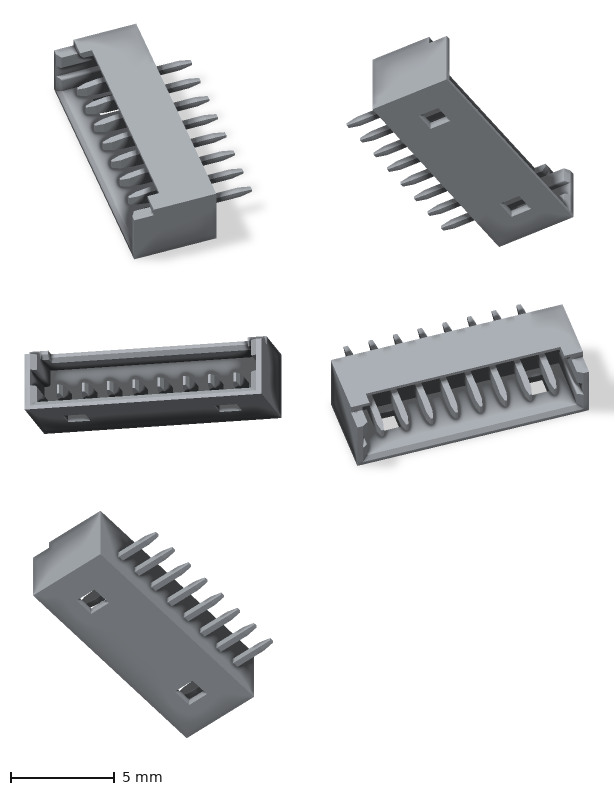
import cadquery as cq


body_width = 11.75
body_depth = 4.2
body_height = 3.2

side_wall = 0.58
floor_thickness = 0.4
roof_thickness = floor_thickness
cavity_depth = 3.0
cavity_width = body_width - 2 * side_wall
ceiling = body_height - roof_thickness

bevel_side = 0.29
bevel_floor = 0.21
bevel_depth = 0.19

groove_bottom = 1.21
groove_top = 2.0
groove_depth = bevel_side
groove_edge_radius = 0.09

roof_edge_thickness = 0.18
step_depth = 1.0
roof_notch_depth = 1.61
roof_notch_width = 9.87

pin_count = 8
pin_row_length = 8.75
pin_pitch = pin_row_length / (pin_count - 1)
pin_thickness = 0.32
pin_axis_height = 1.14

blade_height = 0.76
blade_tip_height = 0.45
blade_tip_thickness = 0.12
blade_tip_y = 0.67
blade_side_taper = 0.42
blade_height_taper = 1.05

tail_length = 2.3
tail_height = 0.34
tail_taper = 0.61
tail_tip_width = 0.21
tail_tip_height = 0.15

window_width = 1.1
window_front_y = 1.43
window_depth = window_width
window_centre_x = (pin_count / 2 - 1) * pin_pitch


def block(width, y_front, y_back, z_bottom, z_top):
    """Box centred on X."""
    return (
        cq.Workplane("XY")
        .box(width, y_back - y_front, z_top - z_bottom, centered=(True, False, False))
        .translate((0, y_front, z_bottom))
    )


def make_cavity():
    """Plug cavity with a groove along each side wall; the groove lips are rounded."""
    cavity = block(cavity_width, 0, cavity_depth, floor_thickness, ceiling)
    grooved_width = cavity_width + 2 * groove_depth
    grooves = block(grooved_width, 0, cavity_depth, groove_bottom, groove_top)
    margin = groove_depth / 2
    lip_zone = cq.selectors.BoxSelector(
        (-cavity_width / 2 - margin, 0, groove_bottom - margin),
        (cavity_width / 2 + margin, cavity_depth, groove_top + margin),
    )
    cavity = cavity.union(grooves)
    return cavity.edges("|Y").edges(lip_zone).fillet(groove_edge_radius)


def make_lead_in():
    """Tapered block that widens the mouth sideways and downwards, level with the cavity ceiling."""
    mouth_width = cavity_width + 2 * bevel_side
    throat_height = ceiling - floor_thickness
    mouth_height = throat_height + bevel_floor
    return (
        cq.Workplane("XZ")
        .center(0, ceiling - mouth_height / 2)
        .rect(mouth_width, mouth_height)
        .workplane(offset=-bevel_depth)
        .center(0, (mouth_height - throat_height) / 2)
        .rect(cavity_width, throat_height)
        .loft(ruled=True)
    )


def bevelled_roof_cut(width, bevel_width, depth):
    """Cut through the roof from the mouth to the given depth, with a bevel under its back edge."""
    opening = block(width, 0, depth, ceiling, body_height)
    bevel = (
        cq.Workplane("YZ")
        .polyline([
            (0, ceiling),
            (depth + bevel_depth, ceiling),
            (depth, body_height - roof_edge_thickness),
            (0, body_height - roof_edge_thickness),
        ])
        .close()
        .extrude(bevel_width / 2, both=True)
    )
    return opening.union(bevel)


def make_roof_cutaway():
    step = bevelled_roof_cut(body_width, cavity_width, step_depth)
    notch = bevelled_roof_cut(roof_notch_width, roof_notch_width, roof_notch_depth)
    return step.union(notch)


def make_windows():
    window = block(window_width, window_front_y, window_front_y + window_depth, 0, floor_thickness)
    left = window.translate((-window_centre_x, 0, 0))
    right = window.translate((window_centre_x, 0, 0))
    return left.union(right)


def make_housing():
    housing = block(body_width, 0, body_depth, 0, body_height)
    for cut in (make_cavity(), make_lead_in(), make_roof_cutaway(), make_windows()):
        housing = housing.cut(cut)
    return housing


def make_blade():
    """Mating blade: its side outline and its plan outline, each tapered to the tip, intersected."""
    height_taper_y = blade_tip_y + blade_height_taper
    side_taper_y = blade_tip_y + blade_side_taper
    side = (
        cq.Workplane("YZ")
        .polyline([
            (blade_tip_y, -blade_tip_height / 2),
            (height_taper_y, -blade_height / 2),
            (body_depth, -blade_height / 2),
            (body_depth, blade_height / 2),
            (height_taper_y, blade_height / 2),
            (blade_tip_y, blade_tip_height / 2),
        ])
        .close()
        .extrude(pin_thickness / 2, both=True)
    )
    plan = (
        cq.Workplane("XY")
        .polyline([
            (-blade_tip_thickness / 2, blade_tip_y),
            (blade_tip_thickness / 2, blade_tip_y),
            (pin_thickness / 2, side_taper_y),
            (pin_thickness / 2, body_depth),
            (-pin_thickness / 2, body_depth),
            (-pin_thickness / 2, side_taper_y),
        ])
        .close()
        .extrude(blade_height / 2, both=True)
    )
    return side.intersect(plan)


def make_tail():
    """Straight solder tail behind the housing with a four-sided tapered end."""
    tail = (
        cq.Workplane("XZ", origin=(0, body_depth, 0))
        .rect(pin_thickness, tail_height)
        .extrude(-(tail_length - tail_taper))
    )
    tip = (
        cq.Workplane("XZ", origin=(0, body_depth + tail_length - tail_taper, 0))
        .rect(pin_thickness, tail_height)
        .workplane(offset=-tail_taper)
        .rect(tail_tip_width, tail_tip_height)
        .loft(ruled=True)
    )
    return tail.union(tip)


pin = make_blade().union(make_tail())
result = make_housing()
for i in range(pin_count):
    pin_x = i * pin_pitch - pin_row_length / 2
    result = result.union(pin.translate((pin_x, 0, pin_axis_height)))